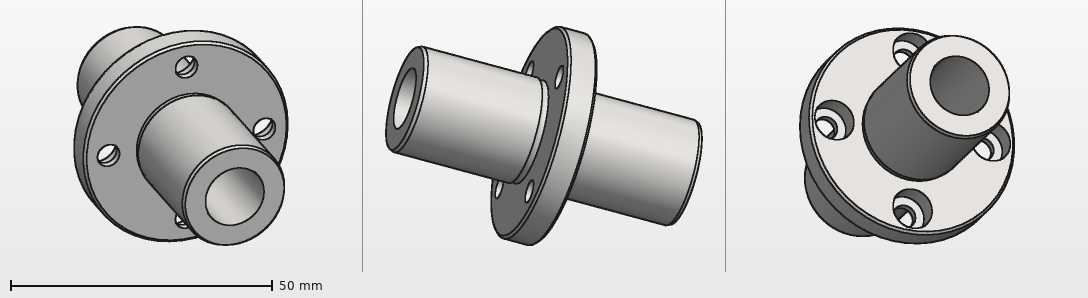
import cadquery as cq
import math

length = 57.0
body_diameter = 21.0
bore_diameter = 12.0
end_chamfer_length = 0.75
end_chamfer_height = 0.35

flange_diameter = 42.0
flange_width = 6.0
flange_chamfer = 0.5

groove_width = 1.35
groove_depth = 0.35
groove_floor_offset = 0.5

hole_count = 4
hole_circle_diameter = 32.0
hole_diameter = 4.5
counterbore_diameter = 8.0
counterbore_depth = 4.4

seal_diameter = 18.8
seal_width = 2.0

body_radius = body_diameter / 2
flange_face = flange_width / 2


def cylinder(diameter, width):
    """Solid cylinder on the X axis, centred on the origin."""
    return cq.Workplane("YZ", origin=(-width / 2, 0, 0)).circle(diameter / 2).extrude(width)


def sleeve():
    """Solid body with both end edges chamfered."""
    body = cylinder(body_diameter, length)
    return body.faces("<X or >X").chamfer(end_chamfer_length, end_chamfer_height)


def relief_groove(side):
    """Ring that cuts the groove on the +X (side = 1) or -X (side = -1) flange face."""
    floor_radius = body_radius - groove_depth
    outer_run = groove_width - groove_floor_offset
    arc_radius = (outer_run**2 + groove_depth**2) / (2 * groove_depth)
    rise_at_flange = arc_radius - math.sqrt(arc_radius**2 - groove_floor_offset**2)
    inner_x = side * flange_face
    floor_x = side * (flange_face + groove_floor_offset)
    outer_x = side * (flange_face + groove_width)
    outline = (
        cq.Workplane("XY")
        .moveTo(inner_x, body_radius)
        .lineTo(inner_x, floor_radius + rise_at_flange)
        .threePointArc((floor_x, floor_radius), (outer_x, body_radius))
        .close()
    )
    return outline.revolve(360, (0, 0, 0), (1, 0, 0))


def flange():
    """Solid disc with both rims chamfered."""
    return cylinder(flange_diameter, flange_width).faces("<X or >X").chamfer(flange_chamfer)


def mounting_holes():
    """Cutters for the flange holes, counterbored from the -X face."""
    start = cq.Workplane("YZ", origin=(-flange_face, 0, 0))
    centres = start.polarArray(hole_circle_diameter / 2, 0, 360, hole_count)
    holes = centres.circle(hole_diameter / 2).extrude(flange_width)
    counterbores = centres.circle(counterbore_diameter / 2).extrude(counterbore_depth)
    return holes.union(counterbores)


def seal_plugs():
    """Pair of solid discs that fill the two ends of the sleeve, still without the bore."""
    return cylinder(seal_diameter, length).cut(cylinder(seal_diameter, length - 2 * seal_width))


result = sleeve()
for side in (-1, 1):
    result = result.cut(relief_groove(side))
result = result.union(flange()).cut(mounting_holes())

result = result.cut(seal_plugs()).union(seal_plugs(), clean=False)
result = result.cut(cylinder(bore_diameter, length), clean=False)